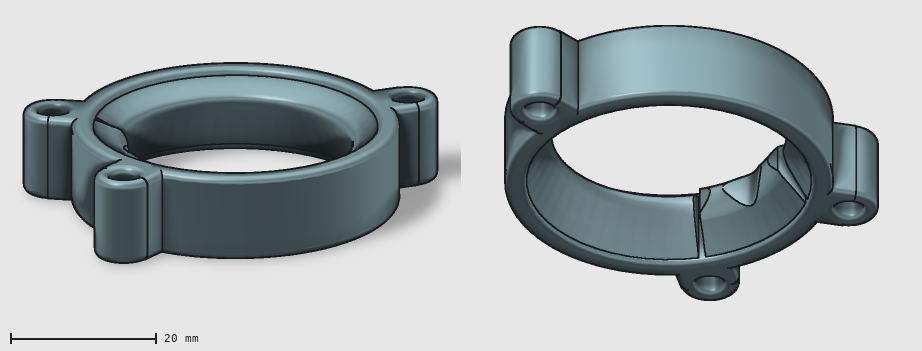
import cadquery as cq
import math

height = 12.0
ring_radius = 22.5
bore_radius = 19.5
rounding = 1.0

lug_distance = 25.45
lug_radius = 4.0
lug_hole_diameter = 4.0
arm_half_width = 4.15
arm_root = 20.95
lug_spread = 31.5
lug_angles = (90, 270 - lug_spread, 270 + lug_spread)

liner_lip_radius = 16.2
pad_lip_radius = 14.9
shoulder_setback = 1.25
heel_setback = 0.1
shoulder_depth = 2.1
lip_depth = 3.1
heel_depth = 4.85

gap_width = 1.0
liner_end_angle = 32.2
pad_blank_angle = 40.0

hump_crest = (5.95, -13.75)
hump_flank = (2.75, -14.9)
notch_bottom = (0, -16.3)

lug_hole_radius = lug_hole_diameter / 2
eyelet_rim_radius = (lug_radius - lug_hole_radius) / 2
eyelet_middle_radius = lug_hole_radius + eyelet_rim_radius

liner_top = height - rounding
liner_bottom = rounding


def make_ring_band():
    band = cq.Workplane("XY").circle(ring_radius).circle(bore_radius).extrude(height)
    return band.faces("<Z or >Z").edges().fillet(rounding)


def make_arm():
    """Straight arm along +X, ending on the axis of the eyelet and bored to seat it."""
    return (
        cq.Workplane("XY")
        .box(lug_distance - arm_root, 2 * arm_half_width, height, centered=(False, True, False))
        .edges("|X")
        .fillet(rounding)
        .translate((arm_root, 0, 0))
        .cut(cq.Workplane("XY").center(lug_distance, 0).circle(eyelet_middle_radius).extrude(height))
    )


def make_eyelet():
    """Tube around a lug hole, with fully rounded rims at top and bottom."""
    top_arc_level = height - eyelet_rim_radius
    return (
        cq.Workplane("XZ")
        .moveTo(lug_hole_radius, eyelet_rim_radius)
        .threePointArc((eyelet_middle_radius, 0), (lug_radius, eyelet_rim_radius))
        .lineTo(lug_radius, top_arc_level)
        .threePointArc((eyelet_middle_radius, height), (lug_hole_radius, top_arc_level))
        .close()
        .revolve(360, (0, 0, 0), (0, 1, 0))
        .translate((lug_distance, 0, 0))
    )


def make_housing():
    housing = make_ring_band()
    lug = make_arm().union(make_eyelet())
    for angle in lug_angles:
        housing = housing.union(lug.rotate((0, 0, 0), (0, 0, 1), angle))
    return housing


def make_lip_arc(lip_radius, start_angle, end_angle):
    """Arc lining the bore, with one smooth inner face that swells to a rounded lip."""
    shoulder = (lip_radius + shoulder_setback, height - shoulder_depth)
    lip = (lip_radius, height - lip_depth)
    heel = (lip_radius + heel_setback, height - heel_depth)
    bore_top = (bore_radius, liner_top)
    bore_bottom = (bore_radius, liner_bottom)
    top_slope = (shoulder[0] - bore_top[0], shoulder[1] - bore_top[1])
    bottom_slope = (bore_bottom[0] - heel[0], bore_bottom[1] - heel[1])
    return (
        cq.Workplane("XZ")
        .spline([bore_top, shoulder, lip, heel, bore_bottom], tangents=[top_slope, bottom_slope])
        .close()
        .revolve(end_angle - start_angle, (0, 0, 0), (0, 1, 0))
        .rotate((0, 0, 0), (0, 0, 1), start_angle)
    )


def make_liner():
    return make_lip_arc(liner_lip_radius, liner_end_angle - 90, 270 - liner_end_angle)


def make_pad():
    """Lip arc cut to the humped inner outline, with sides parallel to the liner ends."""
    def mirrored(point):
        return (-point[0], point[1])

    end_sin = math.sin(math.radians(liner_end_angle))
    end_cos = math.cos(math.radians(liner_end_angle))
    inner_y = hump_crest[1]
    inner_corner = ((-inner_y * end_sin - gap_width) / end_cos, inner_y)
    outer_y = -ring_radius
    outer_corner = ((-outer_y * end_sin - gap_width) / end_cos, outer_y)
    outline = (
        cq.Workplane("XY")
        .moveTo(*mirrored(inner_corner))
        .lineTo(*mirrored(hump_crest))
        .spline([mirrored(hump_flank), notch_bottom, hump_flank, hump_crest], includeCurrent=True)
        .lineTo(*inner_corner)
        .lineTo(*outer_corner)
        .lineTo(*mirrored(outer_corner))
        .close()
        .extrude(height)
    )
    blank = make_lip_arc(pad_lip_radius, 270 - pad_blank_angle, 270 + pad_blank_angle)
    return blank.intersect(outline)


housing = make_housing()
liner = make_liner()
pad = make_pad()

result = cq.Compound.makeCompound([housing.val(), liner.val(), pad.val()])